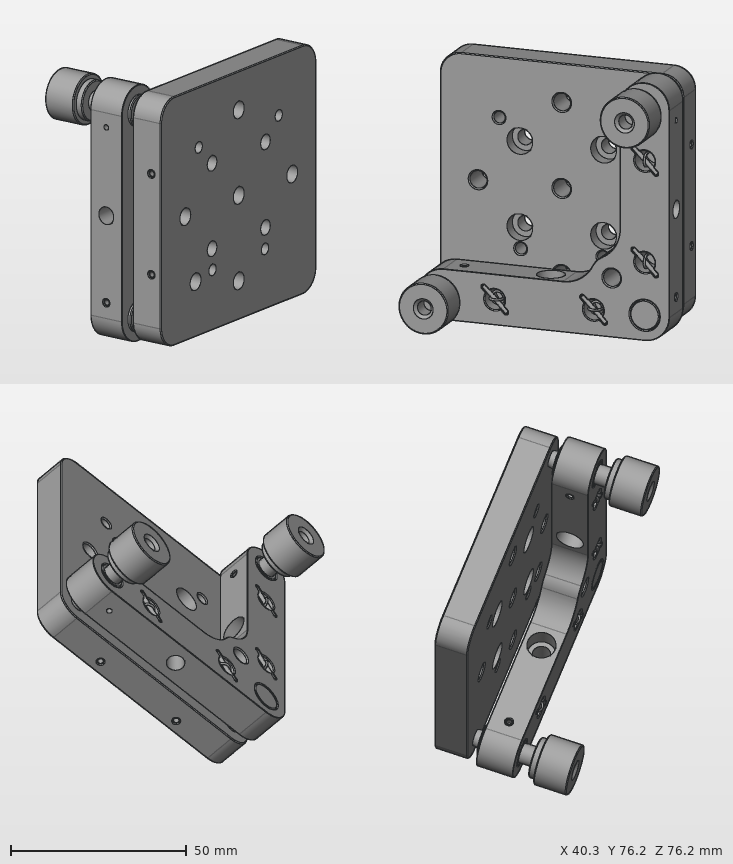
import cadquery as cq
import math


EDGE_CHAMFER = 0.3
FRAME_CHAMFER = 0.15

FRAME_HALF = 38.1
FRAME_THICKNESS = 11.1
ARM_WIDTH = 15.0
ARM_RADIUS = ARM_WIDTH / 2
ARM_CENTRE = FRAME_HALF - ARM_RADIUS
ARM_INNER_EDGE = ARM_WIDTH - FRAME_HALF
INNER_BEND_RADIUS = 10.0
CORNER_BOSS_CENTRE = -20.6
CORNER_BOSS_RADIUS = 6.55

FLANGE_DIAMETER = 9.4
FLANGE_THICKNESS = 1.0
PLUG_DIAMETER = 8.9
BUSHING_DIAMETER = 8.0
SEAM_GROOVE_DEPTH = 0.3
TIP_BASE_DIAMETER = 5.6
TIP_END_DIAMETER = 4.8

POST_HOLE_DIAMETER = 5.25
POST_COUNTERBORE_DIAMETER = 8.2
POST_COUNTERBORE_DEPTH = 5.7
SET_SCREW_DIAMETER = 2.6
SET_SCREW_FLOOR_DIAMETER = 2.05
SET_SCREW_DEPTH = 0.3
SOCKET_DIAMETER = 1.6
SOCKET_DEPTH = 2.3
CLAMP_SCREW_OFFSET = 26.3
PIVOT_SCREW_Z = -25.9

SPRING_OFFSET = 15.0
SPRING_HOLE_DIAMETER = 6.1
SPRING_HOLE_MOUTH = 6.7
SPRING_HOLE_DEPTH = 9.15
PIN_DIAMETER = 1.3
PIN_LENGTH = 10.8
PIN_SLOT_WIDTH = 1.5
PIN_SLOT_LENGTH = 11.3
PIN_DEPTH = 0.6
WIRE_DIAMETER = 0.7
COIL_RADIUS = 1.8
HOOK_RISE = 0.6
COIL_DEPTH = 2.7

KNOB_DIAMETER = ARM_WIDTH
KNOB_LENGTH = 10.0
COLLAR_DIAMETER = 12.05
COLLAR_LENGTH = 2.05
SHAFT_DIAMETER = 5.95
SHAFT_EXPOSED = 4.1
KNOB_BORE_DIAMETER = 4.2
KNOB_BORE_DEPTH = 6.1
KNOB_BORE_MOUTH = 6.0

PLATE_SIZE = 74.1
PLATE_THICKNESS = 10.0
PLATE_CORNER_RADIUS = 6.5
PLATE_GAP = 3.05
PLATE_FRONT = FRAME_THICKNESS + PLATE_GAP
MAIN_HOLE_DIAMETER = 5.2
MAIN_HOLE_MOUTH = 5.95
MAIN_HOLE_OFFSET = 25.45
CAP_HOLE_DIAMETER = 4.6
CAP_COUNTERBORE_DIAMETER = 7.85
CAP_COUNTERBORE_DEPTH = 4.35
CAP_HOLE_OFFSET = 12.7
SMALL_HOLE_DIAMETER = 3.4
SMALL_HOLE_MOUTH = 4.2
SMALL_HOLE_Z = 19.05
SMALL_HOLE_UPPER_Y = 19.05
SMALL_HOLE_LOWER_Y = 12.5
SIDE_SCREW_FROM_FRONT = 6.55

SCREW_PLACES = [(ARM_CENTRE, -ARM_CENTRE), (-ARM_CENTRE, ARM_CENTRE)]
PIVOT_PLACE = (-ARM_CENTRE, -ARM_CENTRE)


def disc(place, diameter, x_start, length):
    """Cylinder along X, centred at a (Y, Z) place."""
    return cq.Workplane("YZ", origin=(x_start, *place)).circle(diameter / 2).extrude(length)


def cone(place, start_diameter, end_diameter, x_start, length):
    """Cone frustum along X, centred at a (Y, Z) place."""
    solid = cq.Solid.makeCone(
        start_diameter / 2, end_diameter / 2, length, cq.Vector(x_start, *place), cq.Vector(1, 0, 0)
    )
    return cq.Workplane(solid)


def cylinder(start, direction, diameter, depth):
    """Cylinder from a start point along any direction."""
    solid = cq.Solid.makeCylinder(diameter / 2, depth, cq.Vector(*start), cq.Vector(*direction))
    return cq.Workplane(solid)


def chamfered_hole(place, diameter, mouth, x_start, length):
    """Hole cutter along +X with a 45-degree chamfer at its mouth."""
    chamfer = cone(place, mouth, diameter, x_start, (mouth - diameter) / 2)
    return disc(place, diameter, x_start, length).union(chamfer)


def set_screw_hole(start, direction):
    """Dished recess with a narrower socket in its floor."""
    recess = cq.Solid.makeCone(
        SET_SCREW_DIAMETER / 2,
        SET_SCREW_FLOOR_DIAMETER / 2,
        SET_SCREW_DEPTH,
        cq.Vector(*start),
        cq.Vector(*direction),
    )
    return cq.Workplane(recess).union(cylinder(start, direction, SOCKET_DIAMETER, SOCKET_DEPTH))


def contact_tip(place):
    """Tapered nose that bridges the gap from a flange to the plate."""
    start = FRAME_THICKNESS + FLANGE_THICKNESS
    return cone(place, TIP_BASE_DIAMETER, TIP_END_DIAMETER, start, PLATE_FRONT - start)


def seam_groove(place, diameter):
    """V-shaped ring groove in the front face, around a flush round insert."""
    outer = cone(place, diameter + 2 * SEAM_GROOVE_DEPTH, diameter, 0, SEAM_GROOVE_DEPTH)
    return outer.cut(cone(place, diameter - 2 * SEAM_GROOVE_DEPTH, diameter, 0, SEAM_GROOVE_DEPTH))


def frame_blank():
    """L outline: round arm ends, and a boss that swells the inner corner."""
    bend_z = ARM_INNER_EDGE + INNER_BEND_RADIUS
    centre_distance = INNER_BEND_RADIUS + CORNER_BOSS_RADIUS
    bend_rise = bend_z - CORNER_BOSS_CENTRE
    bend_y = CORNER_BOSS_CENTRE + math.sqrt(centre_distance**2 - bend_rise**2)
    boss_angle = math.asin(bend_rise / centre_distance)
    mid_angle = (boss_angle - math.pi / 2) / 2

    boss_y = CORNER_BOSS_CENTRE + CORNER_BOSS_RADIUS * math.cos(boss_angle)
    boss_z = CORNER_BOSS_CENTRE + CORNER_BOSS_RADIUS * math.sin(boss_angle)
    boss_mid = CORNER_BOSS_CENTRE + CORNER_BOSS_RADIUS * math.sqrt(0.5)
    bend_mid_y = bend_y + INNER_BEND_RADIUS * math.sin(mid_angle)
    bend_mid_z = bend_z - INNER_BEND_RADIUS * math.cos(mid_angle)
    corner_mid = -ARM_CENTRE - ARM_RADIUS * math.sqrt(0.5)

    outline = (
        cq.Workplane("YZ")
        .moveTo(-ARM_CENTRE, -FRAME_HALF)
        .lineTo(ARM_CENTRE, -FRAME_HALF)
        .threePointArc((FRAME_HALF, -ARM_CENTRE), (ARM_CENTRE, ARM_INNER_EDGE))
        .lineTo(bend_y, ARM_INNER_EDGE)
        .threePointArc((bend_mid_y, bend_mid_z), (boss_y, boss_z))
        .threePointArc((boss_mid, boss_mid), (boss_z, boss_y))
        .threePointArc((bend_mid_z, bend_mid_y), (ARM_INNER_EDGE, bend_y))
        .lineTo(ARM_INNER_EDGE, ARM_CENTRE)
        .threePointArc((-ARM_CENTRE, FRAME_HALF), (-FRAME_HALF, ARM_CENTRE))
        .lineTo(-FRAME_HALF, -ARM_CENTRE)
        .threePointArc((corner_mid, corner_mid), (-ARM_CENTRE, -FRAME_HALF))
        .close()
    )
    return outline.extrude(FRAME_THICKNESS).faces("<X or >X").chamfer(FRAME_CHAMFER)


def frame_side_holes():
    """Post hole, clamp screw and opposite blind hole in each arm, and the pivot's set screw."""
    x = FRAME_THICKNESS / 2
    edge = ARM_INNER_EDGE
    cutters = set_screw_hole((x, -FRAME_HALF, PIVOT_SCREW_Z), (0, 1, 0))
    arms = [
        ((x, 0, edge), (x, CLAMP_SCREW_OFFSET, edge), (x, CLAMP_SCREW_OFFSET, -FRAME_HALF), (0, 0, 1)),
        ((x, edge, 0), (x, edge, CLAMP_SCREW_OFFSET), (x, -FRAME_HALF, CLAMP_SCREW_OFFSET), (0, 1, 0)),
    ]
    for post, clamp, vent, inward in arms:
        outward = [-part for part in inward]
        cutters = (
            cutters.union(cylinder(post, outward, POST_HOLE_DIAMETER, ARM_WIDTH))
            .union(cylinder(post, outward, POST_COUNTERBORE_DIAMETER, POST_COUNTERBORE_DEPTH))
            .union(set_screw_hole(clamp, outward))
            .union(cylinder(vent, inward, SOCKET_DIAMETER, SOCKET_DEPTH))
        )
    return cutters


def spring_pocket(place):
    """Round spring hole crossed by a shallow diagonal slot for the pin."""
    slot = (
        cq.Workplane("YZ", origin=(0, *place))
        .transformed(rotate=(0, 0, 45))
        .slot2D(PIN_SLOT_LENGTH, PIN_SLOT_WIDTH)
        .extrude(PIN_DEPTH)
    )
    hole = chamfered_hole(place, SPRING_HOLE_DIAMETER, SPRING_HOLE_MOUTH, 0, SPRING_HOLE_DEPTH)
    return hole.union(slot)


def cross_pin(place):
    """Pin bedded in the diagonal slot."""
    half = PIN_LENGTH / 2 * math.sqrt(0.5)
    start = (PIN_DEPTH, place[0] - half, place[1] - half)
    pin = cylinder(start, (0, 1, 1), PIN_DIAMETER, PIN_LENGTH)
    return pin.edges("%CIRCLE").chamfer(EDGE_CHAMFER)


def spring_hook(place, turn, has_coil):
    """Wire hook looped over the pin; turn 0 lays it along Y, turn 90 along Z."""
    bend_start = COIL_RADIUS + WIRE_DIAMETER / 2 - HOOK_RISE
    path = (
        cq.Workplane("XY")
        .moveTo(COIL_DEPTH, -COIL_RADIUS)
        .lineTo(bend_start, -COIL_RADIUS)
        .threePointArc((bend_start - COIL_RADIUS, 0), (bend_start, COIL_RADIUS))
        .lineTo(COIL_DEPTH, COIL_RADIUS)
    )
    section = cq.Workplane("YZ", origin=(COIL_DEPTH, -COIL_RADIUS, 0)).circle(WIRE_DIAMETER / 2)
    hook = section.sweep(path)
    if has_coil:
        coil = cq.Solid.makeTorus(
            COIL_RADIUS, WIRE_DIAMETER / 2, cq.Vector(COIL_DEPTH, 0, 0), cq.Vector(1, 0, 0)
        )
        hook = hook.union(cq.Workplane(coil))
    return hook.rotate((0, 0, 0), (1, 0, 0), turn).translate((0, *place))


def make_frame():
    body = frame_blank()

    body = body.cut(seam_groove(PIVOT_PLACE, PLUG_DIAMETER)).union(contact_tip(PIVOT_PLACE))
    for place in [PIVOT_PLACE, *SCREW_PLACES]:
        flange = disc(place, FLANGE_DIAMETER, FRAME_THICKNESS, FLANGE_THICKNESS)
        body = body.union(flange.faces(">X").chamfer(EDGE_CHAMFER))

    for place in SCREW_PLACES:
        body = body.cut(disc(place, SHAFT_DIAMETER, 0, FRAME_THICKNESS + FLANGE_THICKNESS))
        body = body.cut(seam_groove(place, BUSHING_DIAMETER))

    boss_place = (CORNER_BOSS_CENTRE, CORNER_BOSS_CENTRE)
    body = body.cut(chamfered_hole(boss_place, MAIN_HOLE_DIAMETER, MAIN_HOLE_MOUTH, 0, FRAME_THICKNESS))
    body = body.cut(frame_side_holes())

    for offset in (-SPRING_OFFSET, SPRING_OFFSET):
        for place, turn, has_coil in [
            ((offset, -ARM_CENTRE), 0, True),
            ((-ARM_CENTRE, offset), 90, False),
        ]:
            body = body.cut(spring_pocket(place)).union(cross_pin(place))
            body = body.union(spring_hook(place, turn, has_coil))
    return body


def make_thumb_screw(place):
    collar_start = -SHAFT_EXPOSED - COLLAR_LENGTH
    knob_start = collar_start - KNOB_LENGTH
    shaft_length = SHAFT_EXPOSED + FRAME_THICKNESS + FLANGE_THICKNESS
    knob = disc(place, KNOB_DIAMETER, knob_start, KNOB_LENGTH).faces("<X or >X").chamfer(EDGE_CHAMFER)
    collar = disc(place, COLLAR_DIAMETER, collar_start, COLLAR_LENGTH).faces(">X").chamfer(EDGE_CHAMFER)
    shaft = disc(place, SHAFT_DIAMETER, -SHAFT_EXPOSED, shaft_length)
    bore = chamfered_hole(place, KNOB_BORE_DIAMETER, KNOB_BORE_MOUTH, knob_start, KNOB_BORE_DEPTH)
    return knob.union(collar).union(shaft).union(contact_tip(place)).cut(bore)


def make_plate():
    body = (
        cq.Workplane("YZ", origin=(PLATE_FRONT, 0, 0))
        .rect(PLATE_SIZE, PLATE_SIZE)
        .extrude(PLATE_THICKNESS)
        .edges("|X")
        .fillet(PLATE_CORNER_RADIUS)
        .faces("<X or >X")
        .chamfer(EDGE_CHAMFER)
    )

    main_places = [(0, 0), (CORNER_BOSS_CENTRE, CORNER_BOSS_CENTRE)]
    for side in (-MAIN_HOLE_OFFSET, MAIN_HOLE_OFFSET):
        main_places += [(side, 0), (0, side)]
    for place in main_places:
        body = body.cut(
            chamfered_hole(place, MAIN_HOLE_DIAMETER, MAIN_HOLE_MOUTH, PLATE_FRONT, PLATE_THICKNESS)
        )

    for y in (-CAP_HOLE_OFFSET, CAP_HOLE_OFFSET):
        for z in (-CAP_HOLE_OFFSET, CAP_HOLE_OFFSET):
            body = body.cut(disc((y, z), CAP_HOLE_DIAMETER, PLATE_FRONT, PLATE_THICKNESS))
            body = body.cut(disc((y, z), CAP_COUNTERBORE_DIAMETER, PLATE_FRONT, CAP_COUNTERBORE_DEPTH))

    for y, z in [(SMALL_HOLE_UPPER_Y, SMALL_HOLE_Z), (SMALL_HOLE_LOWER_Y, -SMALL_HOLE_Z)]:
        for place in [(-y, z), (y, z)]:
            body = body.cut(
                chamfered_hole(place, SMALL_HOLE_DIAMETER, SMALL_HOLE_MOUTH, PLATE_FRONT, PLATE_THICKNESS)
            )

    x = PLATE_FRONT + SIDE_SCREW_FROM_FRONT
    edge = -PLATE_SIZE / 2
    for offset in (-SPRING_OFFSET, SPRING_OFFSET):
        body = body.cut(set_screw_hole((x, edge, offset), (0, 1, 0)))
        body = body.cut(set_screw_hole((x, offset, edge), (0, 0, 1)))
    return body


frame = make_frame()
plate = make_plate()
thumb_screws = [make_thumb_screw(place) for place in SCREW_PLACES]

bodies = [frame, plate, *thumb_screws]
result = cq.Compound.makeCompound([body.solids().val() for body in bodies])